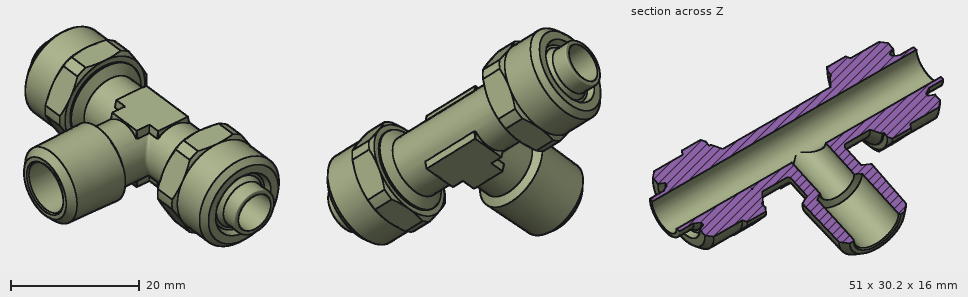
import cadquery as cq
import math

run_half_length = 25.5
tube_radius = 5.25
bore_radius = 3.25
tail_radius = 4.0
tail_edge_round = 0.2

nut_face_x = 22.7
nut_radius = 8.0
nut_chamfer = 1.0
hex_outer_x = 16.2
hex_inner_x = 11.75
hex_across_flats = 2 * nut_radius
hex_corner_radius = 8.74
hex_chamfer_angle = 30.0
collar_radius = 7.0
collar_length = 0.3
collar_cone_length = 1.05

groove_depth = 1.0
groove_mouth_radius = 5.55
groove_floor_outer_radius = 5.05
groove_floor_inner_radius = 4.6

branch_length = 21.5
thread_shoulder_y = 10.0
thread_start_y = 10.75
thread_chamfer_y = 20.3
thread_start_radius = 6.7
thread_end_radius = 6.5
branch_tip_radius = 5.28
mouth_outer_radius = 4.53
mouth_inner_radius = 4.3
mouth_chamfer_depth = 0.25
branch_counterbore_depth = 10.0
drill_point_angle = 118.0

pad_top_z = 5.5
pad_depth = 1.5
pad_draft_angle = 10.0
pad_half_length = 5.2
pad_half_width = 3.0
pad_stem_half_width = 3.05
pad_stem_end_y = 5.55

crotch_radius = 0.5
crotch_half_height = 4.6


def revolve_about_x(profile):
    """Revolve (x, radius) points about the run axis."""
    return cq.Workplane("XY").polyline(profile).close().revolve(360, (0, 0, 0), (1, 0, 0))


def revolve_about_branch(profile):
    """Revolve (radius, distance) points about the branch axis; distance runs along -Y."""
    points = [(radius, -distance) for radius, distance in profile]
    return cq.Workplane("XY").polyline(points).close().revolve(360, (0, 0, 0), (0, 1, 0))


def make_run_cylinder(radius, half_length):
    """Cylinder along the run axis, centred on the part."""
    return cq.Workplane("YZ", origin=(-half_length, 0, 0)).circle(radius).extrude(2 * half_length)


def make_hexagon():
    """Hexagon with flats facing +Z and -Z, its corners turned round and chamfered at both ends."""
    hex_length = hex_outer_x - hex_inner_x
    corner_diameter = hex_across_flats / math.cos(math.pi / 6)
    prism = (
        cq.Workplane("YZ", origin=(hex_inner_x, 0, 0))
        .polygon(6, corner_diameter)
        .extrude(hex_length)
    )
    chamfer_length = (hex_corner_radius - nut_radius) * math.tan(math.radians(hex_chamfer_angle))
    turned_blank = revolve_about_x([
        (hex_inner_x, 0),
        (hex_inner_x, nut_radius),
        (hex_inner_x + chamfer_length, hex_corner_radius),
        (hex_outer_x - chamfer_length, hex_corner_radius),
        (hex_outer_x, nut_radius),
        (hex_outer_x, 0),
    ])
    return prism.intersect(turned_blank)


def make_run_end():
    """Tail, nut and collar at the +X end of the run."""
    groove_floor_x = nut_face_x - groove_depth
    collar_x = hex_inner_x - collar_length
    cone_end_x = collar_x - collar_cone_length
    turned = revolve_about_x([
        (cone_end_x, 0),
        (cone_end_x, tube_radius),
        (collar_x, collar_radius),
        (hex_inner_x, collar_radius),
        (hex_inner_x, nut_radius),
        (nut_face_x - nut_chamfer, nut_radius),
        (nut_face_x, nut_radius - nut_chamfer),
        (nut_face_x, groove_mouth_radius),
        (groove_floor_x, groove_floor_outer_radius),
        (groove_floor_x, groove_floor_inner_radius),
        (nut_face_x, tail_radius),
        (run_half_length, tail_radius),
        (run_half_length, 0),
    ])
    turned = turned.faces(">X").edges().fillet(tail_edge_round)
    return turned.union(make_hexagon())


def make_run_tube():
    """Plain tube between the two collars, reaching under the nuts."""
    return make_run_cylinder(tube_radius, hex_inner_x)


def make_branch():
    """Branch tube with its shoulder and tapered thread envelope."""
    return revolve_about_branch([
        (0, 0),
        (tube_radius, 0),
        (tube_radius, thread_shoulder_y),
        (thread_start_radius, thread_start_y),
        (thread_end_radius, thread_chamfer_y),
        (branch_tip_radius, branch_length),
        (0, branch_length),
    ])


def make_crotch_fillers():
    """Slivers of material that round the corners between the crossing tubes."""
    branch_tube = cq.Workplane("XZ").circle(tube_radius).extrude(thread_shoulder_y)
    slice_width = 2 * run_half_length
    slice_box = cq.Workplane("XY").box(slice_width, slice_width, 2 * crotch_half_height)
    sharp = make_run_tube().union(branch_tube).intersect(slice_box)
    rounded = sharp
    for side in (-1, 1):
        corner = cq.selectors.NearestToPointSelector((side * tube_radius, -tube_radius, 0))
        rounded = rounded.edges(corner).fillet(crotch_radius)
    return rounded.cut(sharp)


def make_top_pad():
    """T-shaped pad with drafted sides, widening downwards into the tubes."""
    outline = [
        (-pad_half_length, pad_half_width),
        (pad_half_length, pad_half_width),
        (pad_half_length, -pad_half_width),
        (pad_stem_half_width, -pad_half_width),
        (pad_stem_half_width, -pad_stem_end_y),
        (-pad_stem_half_width, -pad_stem_end_y),
        (-pad_stem_half_width, -pad_half_width),
        (-pad_half_length, -pad_half_width),
    ]
    return (
        cq.Workplane("XY", origin=(0, 0, pad_top_z))
        .polyline(outline)
        .close()
        .extrude(-pad_depth, taper=-pad_draft_angle)
    )


def make_branch_bore():
    """Branch passage: chamfered mouth, drill-pointed counterbore, then the bore to the run."""
    cone_start_y = branch_length - branch_counterbore_depth
    half_point_angle = math.radians(drill_point_angle / 2)
    cone_length = (mouth_inner_radius - bore_radius) / math.tan(half_point_angle)
    return revolve_about_branch([
        (0, 0),
        (bore_radius, 0),
        (bore_radius, cone_start_y - cone_length),
        (mouth_inner_radius, cone_start_y),
        (mouth_inner_radius, branch_length - mouth_chamfer_depth),
        (mouth_outer_radius, branch_length),
        (0, branch_length),
    ])


run_end = make_run_end()
top_pad = make_top_pad()

body = make_run_tube().union(run_end).union(run_end.mirror("YZ"))
body = body.union(make_branch())
body = body.union(make_crotch_fillers())
body = body.union(top_pad).union(top_pad.mirror("XY"))

result = body.cut(make_run_cylinder(bore_radius, run_half_length)).cut(make_branch_bore())